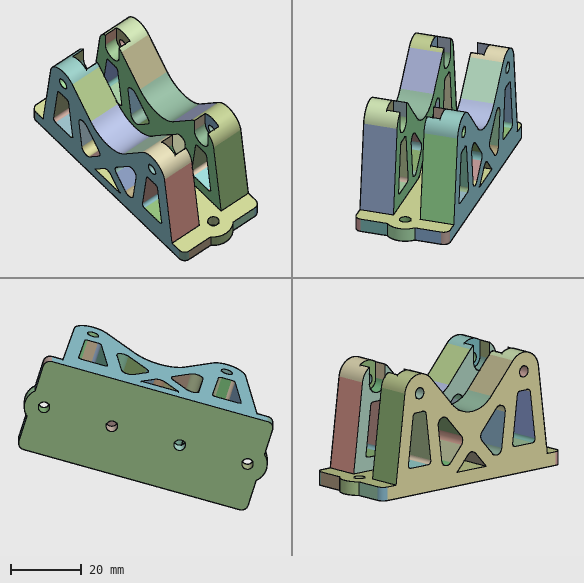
import cadquery as cq
import math

base_thickness = 4.0
base_length = 67.65
base_width = 28.0
base_corner_radius = 2.0
overall_length = 71.2
screw_hole_diameter = 3.2
screw_pitch = 20.0
screw_count = 4
end_screw_x = screw_pitch * (screw_count - 1) / 2
ear_radius = overall_length / 2 - end_screw_x

wall_gap = 8.0
wall_thickness = (base_width - wall_gap) / 2
wall_foot_half_length = 28.6

overall_height = 34.9
lug_radius = 5.6
lug_x = 19.7
lug_z = overall_height - lug_radius
pin_hole_diameter = 3.2
recess_width = 6.0
recess_depth = 4.0
saddle_radius = 10.0
saddle_bottom_z = 20.8
saddle_z = saddle_bottom_z + saddle_radius

web = 4.0
leg_window_bottom_z = 8.0
leg_window_top_z = 23.8
leg_window_radius = 1.0
brace_window_radius = 2.0

foot_dx = wall_foot_half_length - lug_x
foot_dz = lug_z - base_thickness
lean = math.atan2(foot_dx, foot_dz) - math.asin(lug_radius / math.hypot(foot_dx, foot_dz))

center_dz = saddle_z - lug_z
center_distance = math.hypot(lug_x, center_dz)
slope = math.asin((saddle_radius + lug_radius) / center_distance) - math.atan2(center_dz, lug_x)
rise = math.tan(slope)

brace_top_z = saddle_z - saddle_radius / math.cos(slope)
brace_bottom_z = brace_top_z - web / math.cos(slope)


def through_walls(points):
    """Prism of an XZ outline that runs through the full width in Y."""
    return cq.Workplane("XZ").polyline(points).close().extrude(base_width / 2, both=True)


def mirrored(solid):
    """The solid together with its mirror image across the YZ plane."""
    return solid.union(solid.mirror("YZ"))


def make_base():
    plate = cq.Workplane("XY").rect(base_length, base_width).extrude(base_thickness)
    plate = plate.edges("|Z").fillet(base_corner_radius)
    ears = (
        cq.Workplane("XY")
        .pushPoints([(-end_screw_x, 0), (end_screw_x, 0)])
        .circle(ear_radius)
        .extrude(base_thickness)
    )
    screw_holes = (
        cq.Workplane("XY")
        .rarray(screw_pitch, 0.7, screw_count, 1)
        .circle(screw_hole_diameter / 2)
        .extrude(base_thickness)
    )
    return plate.union(ears).cut(screw_holes)


def make_walls():
    end_x = lug_x + lug_radius * math.cos(lean)
    end_z = lug_z + lug_radius * math.sin(lean)
    flank_top_x = lug_x - lug_radius * math.sin(slope)
    flank_top_z = lug_z + lug_radius * math.cos(slope)
    flank_bottom_x = saddle_radius * math.sin(slope)
    flank_bottom_z = saddle_z - saddle_radius * math.cos(slope)
    profile = (
        cq.Workplane("XZ")
        .moveTo(-wall_foot_half_length, base_thickness)
        .lineTo(-end_x, end_z)
        .threePointArc((-lug_x, overall_height), (-flank_top_x, flank_top_z))
        .lineTo(-flank_bottom_x, flank_bottom_z)
        .threePointArc((0, saddle_bottom_z), (flank_bottom_x, flank_bottom_z))
        .lineTo(flank_top_x, flank_top_z)
        .threePointArc((lug_x, overall_height), (end_x, end_z))
        .lineTo(wall_foot_half_length, base_thickness)
        .close()
    )
    walls = profile.extrude(base_width / 2, both=True)
    gap = cq.Workplane("XY").box(overall_length, wall_gap, overall_height, centered=(True, True, False))
    return walls.cut(gap)


def leg_window_half_width(z):
    """Half width that leaves one web between the window and the leaning wall end."""
    return (lug_radius - web) / math.cos(lean) + (lug_z - z) * math.tan(lean)


def make_leg_window():
    bottom_half = leg_window_half_width(leg_window_bottom_z)
    top_half = leg_window_half_width(leg_window_top_z)
    window = through_walls(
        [
            (lug_x - bottom_half, leg_window_bottom_z),
            (lug_x + bottom_half, leg_window_bottom_z),
            (lug_x + top_half, leg_window_top_z),
            (lug_x - top_half, leg_window_top_z),
        ]
    )
    return window.edges("|Y").fillet(leg_window_radius)


def make_side_brace_window():
    outer_x = lug_x - lug_radius / math.cos(lean) - lug_z * math.tan(lean)
    inner_x = (brace_top_z - brace_bottom_z) / (2 * rise)
    inner_z = (brace_top_z + brace_bottom_z) / 2
    upper_z = (brace_bottom_z + rise * outer_x) / (1 - rise * math.tan(lean))
    lower_z = (brace_top_z - rise * outer_x) / (1 + rise * math.tan(lean))
    window = through_walls(
        [
            (inner_x, inner_z),
            (outer_x + upper_z * math.tan(lean), upper_z),
            (outer_x + lower_z * math.tan(lean), lower_z),
        ]
    )
    return window.edges("|Y").fillet(brace_window_radius)


def make_center_window():
    half_width = (brace_bottom_z - base_thickness) / rise
    window = through_walls(
        [(-half_width, base_thickness), (half_width, base_thickness), (0, brace_bottom_z)]
    )
    return window.edges("|Y and >Z").fillet(brace_window_radius)


def make_lug_cutter():
    """Pin hole through both walls, with recesses open at the top on the inner faces."""
    recess_span = wall_gap / 2 + recess_depth
    pin_hole = (
        cq.Workplane("XZ")
        .center(lug_x, lug_z)
        .circle(pin_hole_diameter / 2)
        .extrude(base_width / 2, both=True)
    )
    recess = (
        cq.Workplane("XZ")
        .moveTo(lug_x - recess_width / 2, overall_height)
        .lineTo(lug_x - recess_width / 2, lug_z)
        .threePointArc((lug_x, lug_z - recess_width / 2), (lug_x + recess_width / 2, lug_z))
        .lineTo(lug_x + recess_width / 2, overall_height)
        .close()
        .extrude(recess_span, both=True)
    )
    return pin_hole.union(recess)


walls = make_walls().cut(make_center_window())
for cutter in (make_leg_window(), make_side_brace_window(), make_lug_cutter()):
    walls = walls.cut(mirrored(cutter))

result = make_base().union(walls)